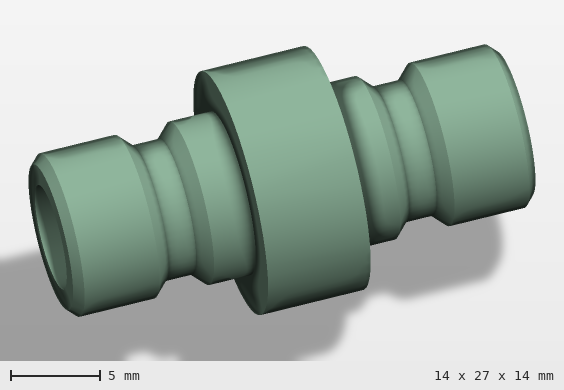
import cadquery as cq

length = 27.0
flange_diameter = 14.0
flange_width = 6.0
body_diameter = 9.4
bore_diameter = 6.0
end_chamfer = 0.5

groove_diameter = 7.8
groove_floor_width = 1.6
groove_end_distance = 4.9

body_radius = body_diameter / 2
groove_depth = (body_diameter - groove_diameter) / 2
groove_width = groove_floor_width + 2 * groove_depth
groove_center = length / 2 - groove_end_distance - groove_width / 2


def make_cylinder(diameter, width):
    """Cylinder along Y, centered on Y = 0."""
    return cq.Workplane("XZ", origin=(0, width / 2, 0)).circle(diameter / 2).extrude(width)


def make_body():
    """Solid barrel along Y with both ends chamfered."""
    return make_cylinder(body_diameter, length).faces("<Y or >Y").chamfer(end_chamfer)


def make_groove(center):
    """Ring of trapezoidal section to be removed around the barrel."""
    floor_radius = body_radius - groove_depth
    clear_radius = body_radius + groove_depth
    half_floor = groove_floor_width / 2
    half_mouth = half_floor + clear_radius - floor_radius
    return (
        cq.Workplane("XY")
        .moveTo(floor_radius, center - half_floor)
        .lineTo(floor_radius, center + half_floor)
        .lineTo(clear_radius, center + half_mouth)
        .lineTo(clear_radius, center - half_mouth)
        .close()
        .revolve(360, (0, 0, 0), (0, 1, 0))
    )


body = make_body()
for side in (-1, 1):
    body = body.cut(make_groove(side * groove_center))

flange = make_cylinder(flange_diameter, flange_width)
bore = make_cylinder(bore_diameter, length)

result = body.union(flange).cut(bore)